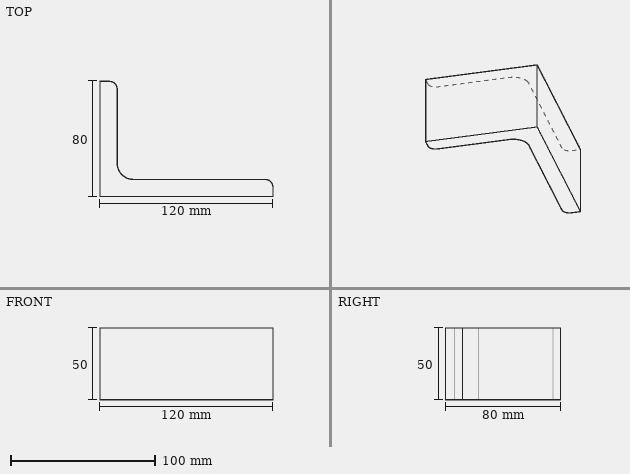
import cadquery as cq

long_leg = 120.0
short_leg = 80.0
thickness = 12.0
length = 50.0
root_radius = 11.0
toe_radius = root_radius / 2


def angle_section():
    """Sharp-cornered L profile with the heel at the origin, extruded to length."""
    outline = [
        (0, 0),
        (long_leg, 0),
        (long_leg, thickness),
        (thickness, thickness),
        (thickness, short_leg),
        (0, short_leg),
    ]
    return cq.Workplane("XY").polyline(outline).close().extrude(length)


def round_edge(body, x, y, radius):
    """Fillet the vertical edge that stands at (x, y)."""
    edge = cq.selectors.NearestToPointSelector((x, y, length / 2))
    return body.edges("|Z").edges(edge).fillet(radius)


result = angle_section()
result = round_edge(result, thickness, thickness, root_radius)
result = round_edge(result, long_leg, thickness, toe_radius)
result = round_edge(result, thickness, short_leg, toe_radius)